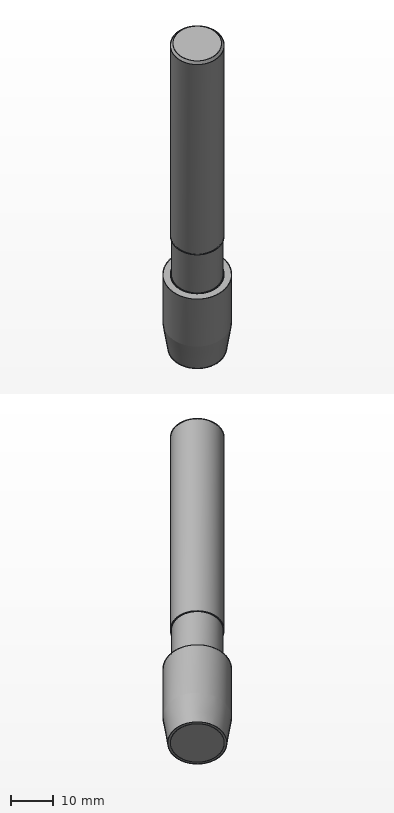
import cadquery as cq

total_height = 102.0
shank_bottom = 37.5
sleeve_top = 24.5
taper_height = 8.5

shank_diameter = 12.5
neck_diameter = 12.0
sleeve_diameter = 16.0
sleeve_foot_diameter = 13.8

top_chamfer = 0.6


def revolved(profile):
    """Solid of revolution about Z from closed (radius, height) points."""
    return cq.Workplane("XZ").polyline(profile).close().revolve(360, (0, 0), (0, 1))


def make_pin():
    """Chamfered shank, relieved neck and a seat of shank diameter that fills the sleeve."""
    shank_radius = shank_diameter / 2
    neck_radius = neck_diameter / 2
    return revolved([
        (0, 0),
        (shank_radius, 0),
        (shank_radius, sleeve_top),
        (neck_radius, sleeve_top),
        (neck_radius, shank_bottom),
        (shank_radius, shank_bottom),
        (shank_radius, total_height - top_chamfer),
        (shank_radius - top_chamfer, total_height),
        (0, total_height),
    ])


def make_sleeve():
    """Round sleeve, tapered towards its foot, with a through bore that fits the pin's seat."""
    bore_radius = shank_diameter / 2
    outer_radius = sleeve_diameter / 2
    return revolved([
        (bore_radius, 0),
        (sleeve_foot_diameter / 2, 0),
        (outer_radius, taper_height),
        (outer_radius, sleeve_top),
        (bore_radius, sleeve_top),
    ])


pin = make_pin()
sleeve = make_sleeve()

result = cq.Compound.makeCompound([pin.val(), sleeve.val()])